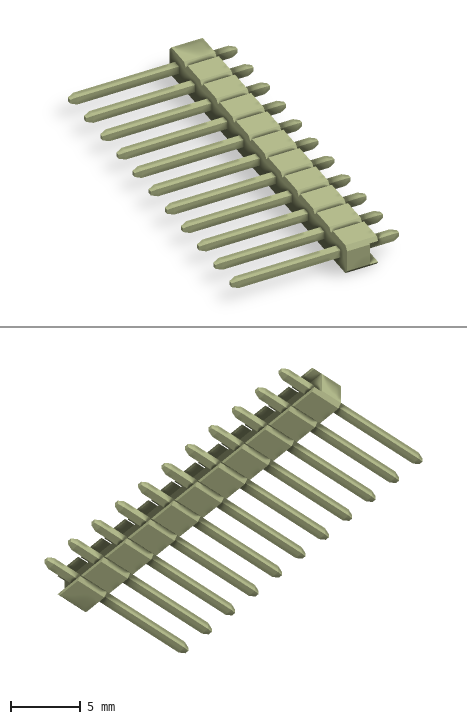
import cadquery as cq

pin_count = 11
block_length = 27.95
pitch = block_length / pin_count
block_height = 2.5
block_depth = 2.55

notch_half_width = 0.28
notch_depth = 0.35

channel_depth = 0.7
lip_thickness = 0.3

pin_width = 0.65
pin_tip_width = 0.34
pin_tip_length = 0.5
pin_length = 13.6
pin_rear_reach = 2.3
pin_offset_x = -0.098

block_rear_y = block_depth / 2
pin_rear_y = block_rear_y + pin_rear_reach
pin_front_y = pin_rear_y - pin_length


def cell_center_x(index):
    return (index - (pin_count - 1) / 2) * pitch


def make_notch(x, side):
    """V groove running along Y at x, in the top (side 1) or bottom (side -1) face."""
    face_z = side * block_height / 2
    return (
        cq.Workplane("XZ", origin=(x, block_rear_y, 0))
        .moveTo(-notch_half_width, face_z)
        .lineTo(0, face_z - side * notch_depth)
        .lineTo(notch_half_width, face_z)
        .close()
        .extrude(block_depth)
    )


def make_block():
    block = cq.Workplane("XY").box(block_length, block_depth, block_height)
    for boundary in range(pin_count + 1):
        x = cell_center_x(boundary) - pitch / 2
        for side in (1, -1):
            block = block.cut(make_notch(x, side))
    channel = cq.Workplane("XY").box(
        block_length, channel_depth, block_height - 2 * lip_thickness
    )
    return block.cut(channel.translate((0, block_rear_y - channel_depth / 2, 0)))


def make_tip(x, shoulder_y, end_y):
    """Tapered pin end, narrowing from shoulder_y to end_y."""
    return (
        cq.Workplane("XZ", origin=(x, shoulder_y, 0))
        .rect(pin_width, pin_width)
        .workplane(offset=shoulder_y - end_y)
        .rect(pin_tip_width, pin_tip_width)
        .loft(ruled=True)
    )


def make_pin(x):
    rear_shoulder_y = pin_rear_y - pin_tip_length
    front_shoulder_y = pin_front_y + pin_tip_length
    shank = (
        cq.Workplane("XZ", origin=(x, rear_shoulder_y, 0))
        .rect(pin_width, pin_width)
        .extrude(rear_shoulder_y - front_shoulder_y)
    )
    rear_tip = make_tip(x, rear_shoulder_y, pin_rear_y)
    front_tip = make_tip(x, front_shoulder_y, pin_front_y)
    return shank.union(rear_tip).union(front_tip)


header = make_block()
for index in range(pin_count):
    header = header.union(make_pin(cell_center_x(index) + pin_offset_x))
result = header